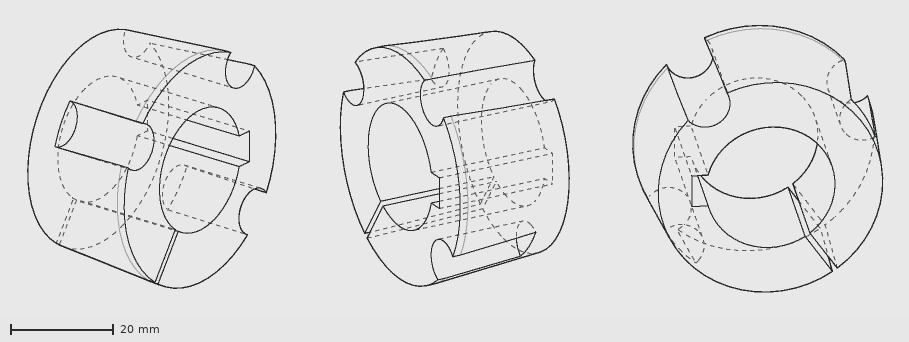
import cadquery as cq
import math

length = 25.4
large_radius = 23.8
small_radius = 22.15
rim_length = 1.7
bore_radius = 12.7

key_width = 6.47
key_reach = 15.5

through_angle = 55.0
pocket_spacing = 95.0
recess_radius = 4.7
recess_center_radius = small_radius
pocket_start = 6.3

slit_width = 1.15
slit_angle = through_angle + 180.0


def tapered_body():
    """Cone with a short cylindrical rim at its large end, bored through."""
    profile = [
        (0, bore_radius),
        (0, small_radius),
        (length - rim_length, large_radius),
        (length, large_radius),
        (length, bore_radius),
    ]
    return cq.Workplane("XY").polyline(profile).close().revolve(360, (0, 0, 0), (1, 0, 0))


def radial_slot(reach, width, angle):
    """Full-length slot from the axis out to the given reach."""
    slot = cq.Workplane("XY").box(length, reach, width, centered=(False, False, True))
    return slot.rotate((0, 0, 0), (1, 0, 0), angle)


def screw_recess(angle, start):
    """Round recess parallel to the axis, from start to the large end."""
    center_y = recess_center_radius * math.cos(math.radians(angle))
    center_z = recess_center_radius * math.sin(math.radians(angle))
    return (
        cq.Workplane("YZ", origin=(start, 0, 0))
        .center(center_y, center_z)
        .circle(recess_radius)
        .extrude(length - start)
    )


result = tapered_body()
result = result.cut(radial_slot(key_reach, key_width, 0))
result = result.cut(radial_slot(large_radius + slit_width, slit_width, slit_angle))
result = result.cut(screw_recess(through_angle, 0))
for side in (-1, 1):
    result = result.cut(screw_recess(through_angle + side * pocket_spacing, pocket_start))